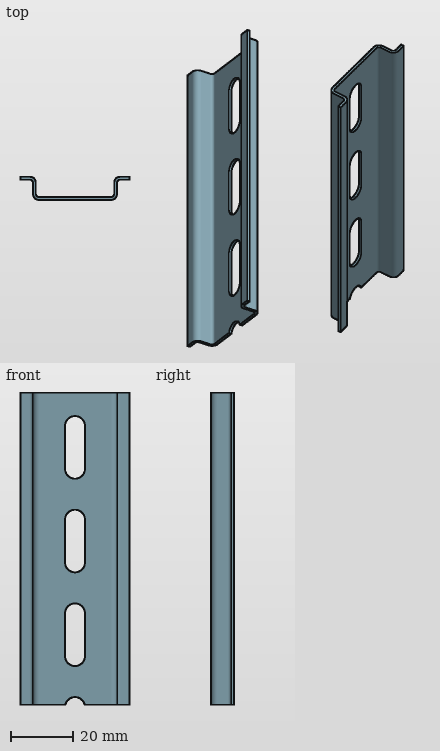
import cadquery as cq

width = 35.0
depth = 7.5
length = 100.0

thickness = 1.0
channel_width = 27.0
inner_bend_radius = 1.0
outer_bend_radius = inner_bend_radius + thickness

slot_width = 6.3
slot_length = 20.0
slot_pitch = 30.0
first_slot_margin = 7.5
slot_count = 4

flange_tip = width / 2
wall_outside = channel_width / 2
wall_inside = wall_outside - thickness
flange_back = depth / 2
flange_front = flange_back - thickness
web_front = -depth / 2
web_back = web_front + thickness


def half_rail():
    """The +X half: half the web, a side wall and an outward flange, joined by two bends."""
    web_bend_x = wall_outside - outer_bend_radius
    web_bend_y = web_front + outer_bend_radius
    flange_bend_x = wall_inside + outer_bend_radius
    flange_bend_y = flange_back - outer_bend_radius
    return (
        cq.Workplane("XY")
        .workplane(offset=-length / 2)
        .moveTo(0, web_front)
        .lineTo(web_bend_x, web_front)
        .tangentArcPoint((wall_outside, web_bend_y), relative=False)
        .lineTo(wall_outside, flange_bend_y)
        .tangentArcPoint((flange_bend_x, flange_front), relative=False)
        .lineTo(flange_tip, flange_front)
        .lineTo(flange_tip, flange_back)
        .lineTo(flange_bend_x, flange_back)
        .tangentArcPoint((wall_inside, flange_bend_y), relative=False)
        .lineTo(wall_inside, web_bend_y)
        .tangentArcPoint((web_bend_x, web_back), relative=False)
        .lineTo(0, web_back)
        .close()
        .extrude(length)
    )


def make_rail():
    """Full-length rail, symmetric about the YZ plane."""
    half = half_rail()
    return half.union(half.mirror("YZ")).clean()


def slot_cutters():
    """Upright round-ended slots, reaching through the full depth of the rail."""
    first_center = length / 2 - first_slot_margin - slot_length / 2
    centers = [(0, first_center - i * slot_pitch) for i in range(slot_count)]
    return (
        cq.Workplane("XZ")
        .pushPoints(centers)
        .slot2D(slot_length, slot_width, 90)
        .extrude(depth, both=True)
    )


result = make_rail().cut(slot_cutters())